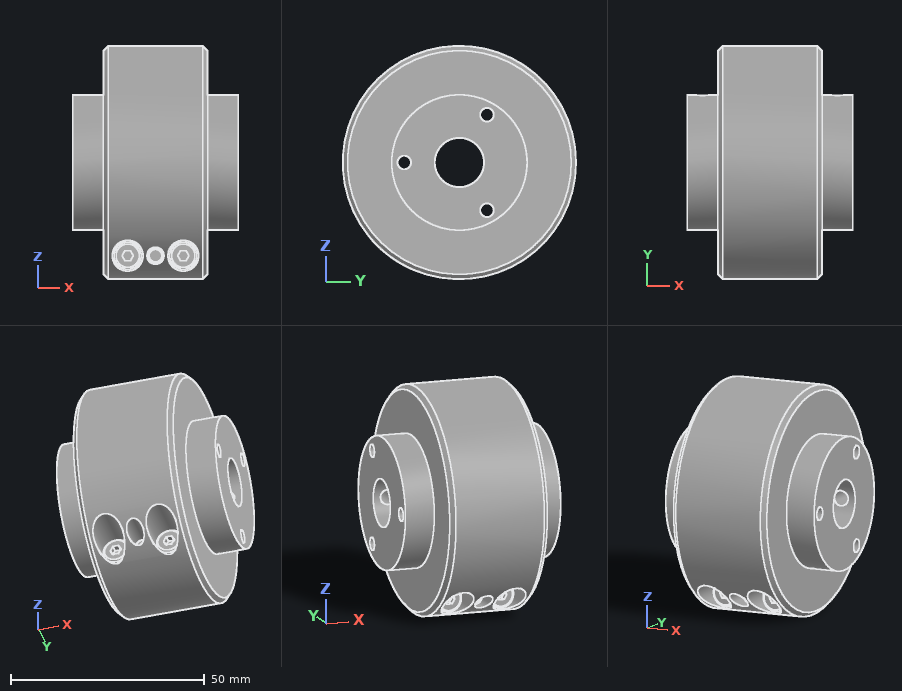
import cadquery as cq
import math

OVERALL_LENGTH = 42.9
DRUM_DIAMETER = 60.45
DRUM_CHAMFER = 1.25
HUB_DIAMETER = 35.05
HUB_LENGTH = 8.0
BORE_DIAMETER = 12.7
DRUM_LENGTH = OVERALL_LENGTH - 2 * HUB_LENGTH

FACE_HOLE_COUNT = 3
FACE_HOLE_DIAMETER = 3.45
FACE_HOLE_CIRCLE_RADIUS = 14.25

RADIAL_HOLE_DIAMETER = 4.0
RADIAL_HOLE_X = (OVERALL_LENGTH - HUB_LENGTH) / 2

FASTENER_Z = -24.1
SCREW_X = 7.2
SCREW_X_POSITIONS = (-SCREW_X, SCREW_X)
SEAT_Y = -7.85

COUNTERBORE_DIAMETER = 8.0
HEAD_DIAMETER = 7.0
HEAD_HEIGHT = 4.0
HEAD_CHAMFER = 0.5
SHANK_DIAMETER = 4.0
SHANK_LENGTH = 16.0
SOCKET_ACROSS_FLATS = 2.55
SOCKET_ACROSS_CORNERS = SOCKET_ACROSS_FLATS / math.cos(math.pi / 6)
SOCKET_DEPTH = HEAD_HEIGHT / 2

PIN_DIAMETER = 4.0
PIN_CHAMFER = 0.35
PIN_RECESS_DIAMETER = 4.4
PIN_PROJECTION = HEAD_HEIGHT
PIN_SEAT_DEPTH = SHANK_LENGTH


def x_cylinder(diameter, length):
    """Cylinder on the X axis, centred on the origin."""
    return cq.Workplane("YZ", origin=(-length / 2, 0, 0)).circle(diameter / 2).extrude(length)


def y_cylinder(diameter, x, start_y, end_y):
    """Cylinder parallel to Y on the fastener row, running from start_y to end_y."""
    return (
        cq.Workplane("XZ", origin=(x, end_y, FASTENER_Z))
        .circle(diameter / 2)
        .extrude(end_y - start_y)
    )


def fastener_pocket(x, entry_diameter, seat_diameter, seat_depth):
    """Stepped hole: a wide entry open to -Y, then a narrower blind seat."""
    entry = y_cylinder(entry_diameter, x, -DRUM_DIAMETER / 2, SEAT_Y)
    seat = y_cylinder(seat_diameter, x, SEAT_Y, SEAT_Y + seat_depth)
    return entry.union(seat)


def face_holes():
    return (
        cq.Workplane("YZ", origin=(-OVERALL_LENGTH / 2, 0, 0))
        .polarArray(FACE_HOLE_CIRCLE_RADIUS, 180, 360, FACE_HOLE_COUNT)
        .circle(FACE_HOLE_DIAMETER / 2)
        .extrude(OVERALL_LENGTH)
    )


def radial_holes():
    """Holes running from the bore axis out through the +Y side of both hubs."""
    return (
        cq.Workplane("XZ")
        .pushPoints([(-RADIAL_HOLE_X, 0), (RADIAL_HOLE_X, 0)])
        .circle(RADIAL_HOLE_DIAMETER / 2)
        .extrude(-HUB_DIAMETER / 2)
    )


def make_coupling():
    coupling = x_cylinder(DRUM_DIAMETER, DRUM_LENGTH).edges().chamfer(DRUM_CHAMFER)
    coupling = coupling.union(x_cylinder(HUB_DIAMETER, OVERALL_LENGTH))
    coupling = coupling.cut(x_cylinder(BORE_DIAMETER, OVERALL_LENGTH))
    coupling = coupling.cut(face_holes()).cut(radial_holes())
    for x in SCREW_X_POSITIONS:
        coupling = coupling.cut(
            fastener_pocket(x, COUNTERBORE_DIAMETER, SHANK_DIAMETER, SHANK_LENGTH)
        )
    return coupling.cut(fastener_pocket(0, PIN_RECESS_DIAMETER, PIN_DIAMETER, PIN_SEAT_DEPTH))


def make_screw(x):
    head_top_y = SEAT_Y - HEAD_HEIGHT
    head = y_cylinder(HEAD_DIAMETER, x, head_top_y, SEAT_Y)
    head = head.faces("<Y").edges().chamfer(HEAD_CHAMFER)
    socket = (
        cq.Workplane("XZ", origin=(x, head_top_y, FASTENER_Z))
        .polygon(6, SOCKET_ACROSS_CORNERS)
        .extrude(-SOCKET_DEPTH)
    )
    shank = y_cylinder(SHANK_DIAMETER, x, SEAT_Y, SEAT_Y + SHANK_LENGTH)
    return head.cut(socket).union(shank)


def make_pin():
    pin = y_cylinder(PIN_DIAMETER, 0, SEAT_Y - PIN_PROJECTION, SEAT_Y + PIN_SEAT_DEPTH)
    return pin.faces("<Y").edges().chamfer(PIN_CHAMFER)


coupling = make_coupling()
screws = [make_screw(x) for x in SCREW_X_POSITIONS]
pin = make_pin()

bodies = [coupling, *screws, pin]
result = cq.Compound.makeCompound([body.solids().val() for body in bodies])